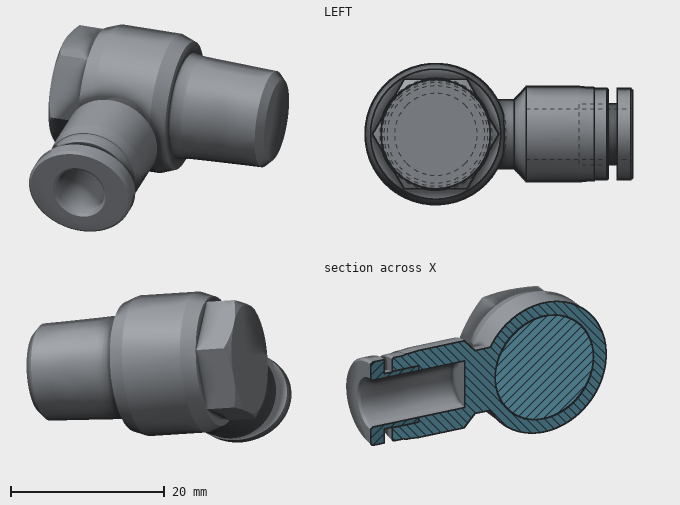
import cadquery as cq
import math


HEAD_LENGTH = 4.45
HEAD_FLATS = 14.23
HEAD_CORNERS = HEAD_FLATS / math.cos(math.pi / 6)
HEAD_CHAMFER_LENGTH = 0.65
SHANK_DIAMETER = 14.6
GROOVE_DIAMETER = 13.5
GROOVE_WIDTH = 0.2
THREAD_START_DIAMETER = 14.0
LEAD_IN_LENGTH = 1.4
LEAD_IN_DIAMETER = 13.5
THREAD_END_DIAMETER = 12.7
BOLT_LENGTH = 28.9
TIP_CHAMFER = 0.98

RING_DIAMETER = 18.38
RING_LENGTH = 11.85
RING_END_DIAMETER = 16.95
RING_TAPER_LENGTH = 1.92
RING_END_X = HEAD_LENGTH + RING_LENGTH

PORT_X = 10.15
NECK_DIAMETER = 9.0
NECK_END = 10.2
BARREL_START = 11.82
BARREL_DIAMETER = 12.4
BARREL_TAPER_START = 18.62
BARREL_STEP = 20.65
BARREL_STEP_DIAMETER = 12.15
BARREL_END_DIAMETER = 11.9
BARREL_END = 22.5
BARREL_CHAMFER = 0.2

OVERALL_Y = 34.87
COLLAR_END = OVERALL_Y - RING_DIAMETER / 2
STEM_DIAMETER = 7.9
STEM_START = BARREL_TAPER_START
FLANGE_THICKNESS = 2.05
FLANGE_WIDTH = 14.0
FLANGE_HEIGHT = 11.9
FLANGE_CHAMFER = 0.3
TUBE_DIAMETER = 6.55
TUBE_MOUTH_CHAMFER = 0.3


def port_plane(distance):
    """Plane across the port axis, facing outward (-Y), with local x along +X."""
    return cq.Plane(origin=(PORT_X, -distance, 0), xDir=(1, 0, 0), normal=(0, -1, 0))


def port_cylinder(diameter, start, end):
    """Cylinder on the port axis between two distances from the bolt axis."""
    return cq.Workplane(port_plane(start)).circle(diameter / 2).extrude(end - start)


def revolve_about_bolt_axis(profile):
    """Solid of revolution about X from (x, radius) points."""
    return cq.Workplane("XY").polyline(profile).close().revolve(360, (0, 0, 0), (1, 0, 0))


def make_hex_head():
    """Hex head with flats on +Z and -Z and its outer corners chamfered."""
    hexagon = cq.Workplane("YZ").polygon(6, HEAD_CORNERS).extrude(HEAD_LENGTH)
    chamfer_envelope = revolve_about_bolt_axis([
        (0, 0),
        (0, HEAD_FLATS / 2),
        (HEAD_CHAMFER_LENGTH, HEAD_CORNERS / 2),
        (HEAD_LENGTH, HEAD_CORNERS / 2),
        (HEAD_LENGTH, 0),
    ])
    return hexagon.intersect(chamfer_envelope)


def make_bolt():
    """Hex head, shank through the ring, relief groove and tapered thread body."""
    thread_x = RING_END_X + GROOVE_WIDTH
    tip_radius = THREAD_END_DIAMETER / 2 - TIP_CHAMFER
    shaft = revolve_about_bolt_axis([
        (HEAD_LENGTH, 0),
        (HEAD_LENGTH, SHANK_DIAMETER / 2),
        (RING_END_X, SHANK_DIAMETER / 2),
        (RING_END_X, GROOVE_DIAMETER / 2),
        (thread_x, GROOVE_DIAMETER / 2),
        (thread_x, THREAD_START_DIAMETER / 2),
        (thread_x + LEAD_IN_LENGTH, LEAD_IN_DIAMETER / 2),
        (BOLT_LENGTH - TIP_CHAMFER, THREAD_END_DIAMETER / 2),
        (BOLT_LENGTH, tip_radius),
        (BOLT_LENGTH, 0),
    ])
    return make_hex_head().union(shaft)


def make_ring():
    """Banjo ring, tapered at both ends, before boring."""
    return revolve_about_bolt_axis([
        (HEAD_LENGTH, 0),
        (HEAD_LENGTH, RING_END_DIAMETER / 2),
        (HEAD_LENGTH + RING_TAPER_LENGTH, RING_DIAMETER / 2),
        (RING_END_X - RING_TAPER_LENGTH, RING_DIAMETER / 2),
        (RING_END_X, RING_END_DIAMETER / 2),
        (RING_END_X, 0),
    ])


def make_port():
    """Neck and stepped barrel, starting on the bolt axis."""
    profile = [
        (0, 0),
        (NECK_DIAMETER / 2, 0),
        (NECK_DIAMETER / 2, -NECK_END),
        (BARREL_DIAMETER / 2, -BARREL_START),
        (BARREL_DIAMETER / 2, -BARREL_TAPER_START),
        (BARREL_STEP_DIAMETER / 2, -BARREL_STEP),
        (BARREL_END_DIAMETER / 2, -BARREL_STEP),
        (BARREL_END_DIAMETER / 2, -BARREL_END + BARREL_CHAMFER),
        (BARREL_END_DIAMETER / 2 - BARREL_CHAMFER, -BARREL_END),
        (0, -BARREL_END),
    ]
    port = cq.Workplane("XY").polyline(profile).close().revolve(360, (0, 0, 0), (0, 1, 0))
    return port.translate((PORT_X, 0, 0))


def make_housing():
    """Ring and port in one piece, bored for the bolt, the tube and the collar stem."""
    bolt_bore = (
        cq.Workplane("YZ", origin=(HEAD_LENGTH, 0, 0)).circle(SHANK_DIAMETER / 2).extrude(RING_LENGTH)
    )
    tube_bore = port_cylinder(TUBE_DIAMETER, BARREL_START, BARREL_END)
    stem_recess = port_cylinder(STEM_DIAMETER, STEM_START, BARREL_END)
    return make_ring().union(make_port()).cut(bolt_bore).cut(tube_bore).cut(stem_recess)


def make_collar():
    """Release collar: round stem, oval flange and a through bore with a chamfered mouth."""
    flange_start = COLLAR_END - FLANGE_THICKNESS
    flange = (
        cq.Workplane(port_plane(flange_start))
        .ellipse(FLANGE_WIDTH / 2, FLANGE_HEIGHT / 2)
        .extrude(FLANGE_THICKNESS)
        .faces("<Y")
        .chamfer(FLANGE_CHAMFER)
    )
    stem = port_cylinder(STEM_DIAMETER, STEM_START, flange_start)
    bore = port_cylinder(TUBE_DIAMETER, STEM_START, COLLAR_END)
    collar = flange.union(stem).cut(bore)
    mouth = cq.Workplane(port_plane(COLLAR_END)).circle(TUBE_DIAMETER / 2 + TUBE_MOUTH_CHAMFER)
    return collar.cut(mouth.extrude(-TUBE_MOUTH_CHAMFER, taper=45))


bolt = make_bolt()
housing = make_housing()
collar = make_collar()

result = cq.Compound.makeCompound([bolt.val(), housing.val(), collar.val()])